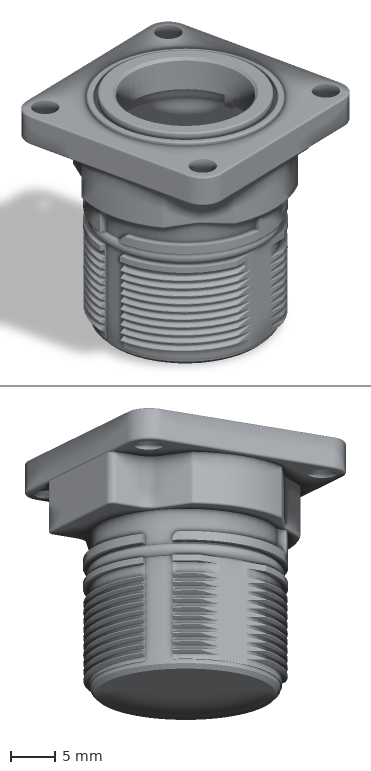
import cadquery as cq
import math

total_height = 29.4
rim_height = 0.5
seal_height = 0.5
flange_top = total_height - rim_height - seal_height
flange_thickness = 3.68
flange_bottom = flange_top - flange_thickness
body_bottom = 18.67
lug_top = 15.82
lug_bottom = 14.8
collar_top = 13.05
collar_bottom = 12.35
thread_bottom = 0.97

flange_side = 28.0
flange_corner_radius = 2.73
flange_edge_radius = 0.24
mounting_hole_offset = 11.3
mounting_hole_diameter = 3.2

rim_radius = 9.9
rim_edge_radius = 0.24
seal_outer_radius = 11.2
seal_inner_radius = 10.4
seal_edge_radius = 0.24

bore_radius = 7.88
bore_chamfer = 0.32
bore_straight_depth = 4.0
bore_total_depth = 5.47
bore_bottom_radius = 8.53
key_width = 1.12
key_center_x = -0.03

body_radius = 13.0
body_edge_radius = 0.2
notch_tip = 8.23
notch_mouth_along = 5.85
notch_root_radius = 2.35
notch_mouth_radius = 0.5
pad_edge_radius = 0.82
pad_half_width = 7.23

sleeve_radius = 10.73
flat_distance = 10.75
sleeve_chamfer = 0.5
thread_root_radius = 10.9
thread_crest_radius = 11.55
collar_radius = 11.58
thread_pitch = 1.0
thread_ridge_base = 0.8
thread_ridge_crest = 0.1
thread_overlap = 0.1
thread_turns = 9.96
thread_start = 1.47
o_ring_section_radius = 0.75
o_ring_outer_radius = 11.23

front_groove = (251.6, 268.5)
rear_groove = (125.1, 142.6)
front_stop = (220.0, front_groove[0])
front_stop_wall_x = -7.55
side_stop = (-6.0, 18.0)
round_nosed_lugs = [
    (rear_groove[1], 230.0),
    (front_groove[1], 360 + side_stop[0]),
]
square_nosed_lug = (side_stop[1], rear_groove[0])
lug_nose_radius = 0.88


def disc(radius, z_low, z_high):
    """Cylinder on the Z axis between two heights."""
    return cq.Workplane("XY").workplane(offset=z_low).circle(radius).extrude(z_high - z_low)


def sector(inner, outer, angles, z_low, z_high):
    """Part of a ring between two angles, with radial end walls."""
    def at(radius, degrees):
        turn = math.radians(degrees)
        return (radius * math.cos(turn), radius * math.sin(turn))

    start, end = angles
    middle = (start + end) / 2
    return (
        cq.Workplane("XY").workplane(offset=z_low)
        .moveTo(*at(inner, start))
        .lineTo(*at(outer, start))
        .threePointArc(at(outer, middle), at(outer, end))
        .lineTo(*at(inner, end))
        .threePointArc(at(inner, middle), at(inner, start))
        .close().extrude(z_high - z_low)
    )


def make_flange():
    """Square flange with rounded corners; the holes are cut later."""
    return (
        cq.Workplane("XY").workplane(offset=flange_bottom)
        .rect(flange_side, flange_side).extrude(flange_thickness)
        .edges("|Z").fillet(flange_corner_radius)
        .faces("<Z or >Z").edges().fillet(flange_edge_radius)
    )


def make_face():
    """Raised rim around the bore and the face seal around the rim."""
    rim = disc(rim_radius, flange_top, total_height).faces(">Z").edges().fillet(rim_edge_radius)
    seal = (
        disc(seal_outer_radius, flange_top, flange_top + seal_height)
        .cut(disc(seal_inner_radius, flange_top, total_height))
        .faces(">Z").edges().fillet(seal_edge_radius)
    )
    return rim.union(seal)


def make_body():
    """Round body with V notches at the four corners and a flat pad on the +Y side."""
    reach = math.sqrt(body_radius ** 2 - notch_mouth_along ** 2)
    tip, along = notch_tip, notch_mouth_along
    pad_x, pad_y = pad_half_width, flange_side / 2
    wall_slope = (tip - along) / (reach - tip)
    pad_foot = along + wall_slope * (reach - pad_x)
    outline = (
        cq.Workplane("XY").workplane(offset=body_bottom)
        .moveTo(pad_x, pad_y)
        .lineTo(pad_x, pad_foot)
        .lineTo(reach, along)
        .threePointArc((body_radius, 0), (reach, -along))
        .lineTo(tip, -tip)
        .lineTo(along, -reach)
        .threePointArc((0, -body_radius), (-along, -reach))
        .lineTo(-tip, -tip)
        .lineTo(-reach, -along)
        .threePointArc((-body_radius, 0), (-reach, along))
        .lineTo(-pad_x, pad_foot)
        .lineTo(-pad_x, pad_y)
        .close().extrude(flange_bottom - body_bottom)
    )

    def upright_edges(points):
        middle_z = (body_bottom + flange_bottom) / 2
        selector = None
        for x, y in points:
            nearest = cq.selectors.NearestToPointSelector((x, y, middle_z))
            selector = nearest if selector is None else selector + nearest
        return selector

    mouths = [(x, y) for x in (-reach, reach) for y in (-along, along)]
    mouths += [(x, -reach) for x in (-along, along)]
    tips = [(x, -tip) for x in (-tip, tip)]
    pad_feet = [(x, pad_foot) for x in (-pad_x, pad_x)]
    pad_corners = [(x, pad_y) for x in (-pad_x, pad_x)]
    for points, radius in (
        (mouths, notch_mouth_radius),
        (tips + pad_feet, notch_root_radius),
        (pad_corners, pad_edge_radius),
    ):
        outline = outline.edges(upright_edges(points)).fillet(radius)
    return outline.faces("<Z").edges().fillet(body_edge_radius)


def make_thread():
    """Right-hand helical ridge standing on the thread root."""
    inner = thread_root_radius - thread_overlap
    path = cq.Wire.makeHelix(thread_pitch, thread_turns * thread_pitch, inner).moved(
        cq.Location(cq.Vector(0, 0, thread_start)))
    return (
        cq.Workplane("XZ")
        .moveTo(inner, thread_start - thread_ridge_base / 2)
        .lineTo(thread_crest_radius, thread_start - thread_ridge_crest / 2)
        .lineTo(thread_crest_radius, thread_start + thread_ridge_crest / 2)
        .lineTo(inner, thread_start + thread_ridge_base / 2)
        .close().sweep(cq.Workplane(path), isFrenet=True)
    )


def make_threaded_section():
    """Thread and collar, cut by two grooves and by flats on the X sides."""
    clear_radius = collar_radius + 0.3
    envelope = cq.Workplane("XY").box(
        2 * flat_distance, 2 * clear_radius, collar_top, centered=(True, True, False))
    for groove in (front_groove, rear_groove):
        envelope = envelope.cut(sector(sleeve_radius, clear_radius, groove, 0, collar_top))
    threaded = disc(thread_root_radius, thread_bottom, collar_bottom).union(make_thread())
    collar = disc(collar_radius, collar_bottom, collar_top)
    return threaded.intersect(envelope).union(collar.intersect(envelope), clean=False)


def make_tip():
    """Chamfered plain end below the thread."""
    return disc(sleeve_radius, 0, thread_bottom).faces("<Z").edges().chamfer(sleeve_chamfer)


def make_sleeve_segment(angles, top):
    """Raised segment on the sleeve, rooted below its surface."""
    return sector(sleeve_radius - 0.3, collar_radius, angles, lug_bottom, top)


def make_round_nosed_lug(angles):
    """Lug whose upper edge is rounded where it starts, at the first angle."""
    start = math.radians(angles[0])
    upper_edge = cq.selectors.NearestToPointSelector(
        (sleeve_radius * math.cos(start), sleeve_radius * math.sin(start), lug_top))
    return make_sleeve_segment(angles, lug_top).edges(upper_edge).fillet(lug_nose_radius)


def make_sleeve():
    """Plain sleeve above the collar with its O-ring, bayonet lugs and stops."""
    sleeve = disc(sleeve_radius, collar_top, body_bottom)
    ring_center_radius = o_ring_outer_radius - o_ring_section_radius
    o_ring = cq.Workplane("XY").add(cq.Solid.makeTorus(
        ring_center_radius, o_ring_section_radius,
        cq.Vector(0, 0, (collar_top + lug_bottom) / 2)))
    sleeve = sleeve.union(o_ring)
    front = make_sleeve_segment(front_stop, body_bottom)
    beyond_wall = cq.Workplane("XY").box(
        collar_radius + front_stop_wall_x, 2 * collar_radius, body_bottom,
        centered=(False, True, False)).translate((-collar_radius, 0, 0))
    sleeve = sleeve.union(front.cut(beyond_wall))
    sleeve = sleeve.union(make_sleeve_segment(side_stop, body_bottom))
    sleeve = sleeve.union(make_sleeve_segment(square_nosed_lug, lug_top))
    for angles in round_nosed_lugs:
        sleeve = sleeve.union(make_round_nosed_lug(angles))
    return sleeve


def make_bore():
    """Chamfered blind bore that widens at the bottom, less the key left standing in it."""
    floor = total_height - bore_total_depth
    step = total_height - bore_straight_depth
    chamfer = cq.Workplane("XY").add(cq.Solid.makeCone(
        bore_radius, bore_radius + bore_chamfer, bore_chamfer,
        cq.Vector(0, 0, total_height - bore_chamfer)))
    key = (
        cq.Workplane("XY").workplane(offset=floor)
        .center(key_center_x, bore_bottom_radius)
        .rect(key_width, 2 * (bore_bottom_radius - bore_radius))
        .extrude(step - floor)
    )
    return (
        disc(bore_radius, floor, total_height)
        .union(chamfer)
        .union(disc(bore_bottom_radius, floor, step).cut(key))
    )


mounting_holes = (
    cq.Workplane("XY").workplane(offset=flange_bottom)
    .rect(2 * mounting_hole_offset, 2 * mounting_hole_offset, forConstruction=True)
    .vertices().circle(mounting_hole_diameter / 2).extrude(flange_thickness)
)

upper_part = (
    make_flange()
    .union(make_body())
    .union(make_face())
    .cut(mounting_holes)
    .union(make_sleeve())
    .cut(make_bore())
)

lower_part = make_threaded_section().union(make_tip(), clean=False)
result = upper_part.union(lower_part, clean=False)